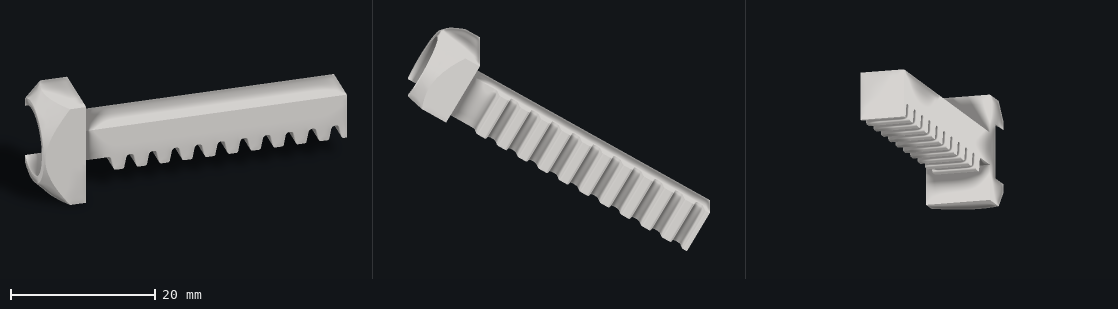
import cadquery as cq
import math

total_length = 44.7
shaft_width = 6.35
shaft_top = 2.1
head_height = 15.05
head_width = 9.35
head_thickness = 6.1
side_face = -shaft_width / 2

rim_radius = 6.0
pocket_radius = 5.0
pocket_depth = 3.65

tooth_count = 10
rack_length = 33.0
tooth_pitch = rack_length / tooth_count
tooth_height = 2.15
tip_width = 1.45
tooth_root = -2.5
tooth_tip = tooth_root - tooth_height
flank_angle = math.radians(11)
root_fillet = 0.6
tip_fillet = 0.3
edge_margin = 0.05

flank_run = tooth_height * math.tan(flank_angle)
root_width = tip_width + 2 * flank_run
tooth_centers = [total_length - i * tooth_pitch for i in range(1, tooth_count + 1)]


def make_head():
    block = cq.Workplane("XY").box(head_width, head_thickness, head_height, centered=(False, False, True))
    block = block.translate((side_face, 0, 0))
    cone = (
        cq.Workplane("XZ", origin=(0, head_thickness, 0))
        .circle(rim_radius + head_thickness)
        .workplane(offset=head_thickness)
        .circle(rim_radius)
        .loft(ruled=True)
    )
    pocket = cq.Workplane("XZ").circle(pocket_radius).extrude(-pocket_depth)
    return block.intersect(cone).cut(pocket)


def extrude_side_outline(points):
    """Extrude a (Y, Z) outline across the width of the shaft."""
    return cq.Workplane("YZ", origin=(side_face, 0, 0)).polyline(points).close().extrude(shaft_width)


def toothed_edges(level):
    """Select the tooth edges at one height, leaving out both ends of the shaft."""
    return cq.selectors.BoxSelector(
        (-shaft_width, head_thickness + edge_margin, level - edge_margin),
        (shaft_width, total_length - edge_margin, level + edge_margin),
    ) & cq.selectors.ParallelDirSelector(cq.Vector(1, 0, 0))


def make_rack():
    outline = [(head_thickness, tooth_root), (head_thickness, shaft_top), (total_length, shaft_top)]
    outline.append((total_length, tooth_tip))
    outline.append((total_length - tip_width / 2, tooth_tip))
    outline.append((total_length - root_width / 2, tooth_root))
    for center in tooth_centers:
        outline.append((center + root_width / 2, tooth_root))
        outline.append((center + tip_width / 2, tooth_tip))
        outline.append((center - tip_width / 2, tooth_tip))
        outline.append((center - root_width / 2, tooth_root))
    rack = extrude_side_outline(outline)
    rack = rack.edges(toothed_edges(tooth_root)).fillet(root_fillet)
    return rack.edges(toothed_edges(tooth_tip)).fillet(tip_fillet)


result = make_head().union(make_rack())